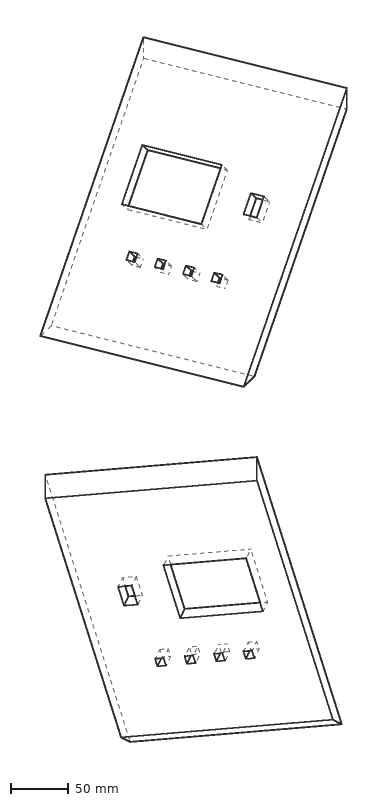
import cadquery as cq
import math

size = 200.0
thickness = 15.0
edge_width = thickness * math.sqrt(2)

display_size = (78.0, 56.0)
display_center = (71.8, 113.5)
switch_size = (12.8, 20.0)
switch_center = (152.5, 113.5)

button_size = (8.0, 8.0)
button_height = 63.0
button_pitch = 27.8
button_count = 4


def window(center, opening):
    """Block cutting straight through the panel, square to its sloped face."""
    center_x, center_z = center
    face = cq.Plane(origin=(center_x, center_z, center_z), xDir=(1, 0, 0), normal=(0, -1, 1))
    return cq.Workplane(face).rect(*opening).extrude(2 * thickness, both=True)


result = (
    cq.Workplane("YZ")
    .polyline([(0, 0), (edge_width, 0), (size, size - edge_width), (size, size)])
    .close()
    .extrude(size)
)

result = result.cut(window(display_center, display_size))
result = result.cut(window(switch_center, switch_size))

for index in range(button_count):
    button_x = size / 2 + (index - (button_count - 1) / 2) * button_pitch
    result = result.cut(window((button_x, button_height), button_size))